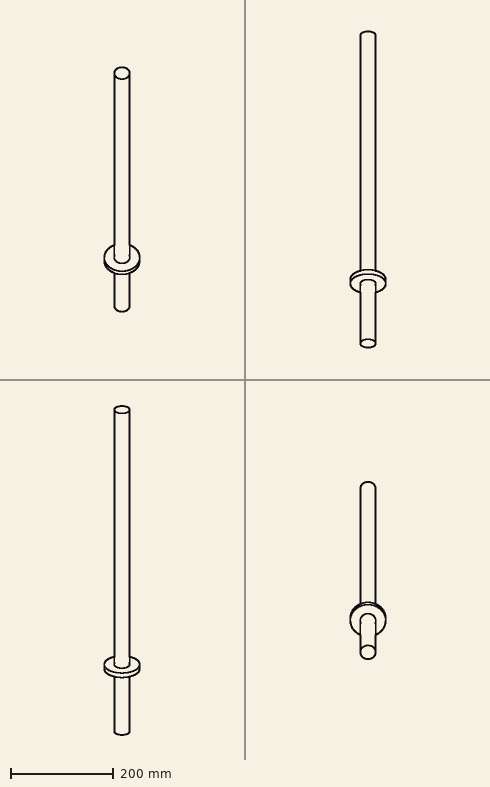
import cadquery as cq

shaft_diameter = 30.0
shaft_length = 720.0

collar_diameter = 70.0
collar_thickness = 10.0
collar_bottom = 140.0


def make_shaft():
    """Plain round bar along Z."""
    return cq.Workplane("XY").circle(shaft_diameter / 2).extrude(shaft_length)


def make_collar():
    """Flat ring whose bore matches the shaft."""
    return (
        cq.Workplane("XY")
        .workplane(offset=collar_bottom)
        .circle(collar_diameter / 2)
        .circle(shaft_diameter / 2)
        .extrude(collar_thickness)
    )


shaft = make_shaft()
collar = make_collar()

result = cq.Compound.makeCompound([shaft.val(), collar.val()])